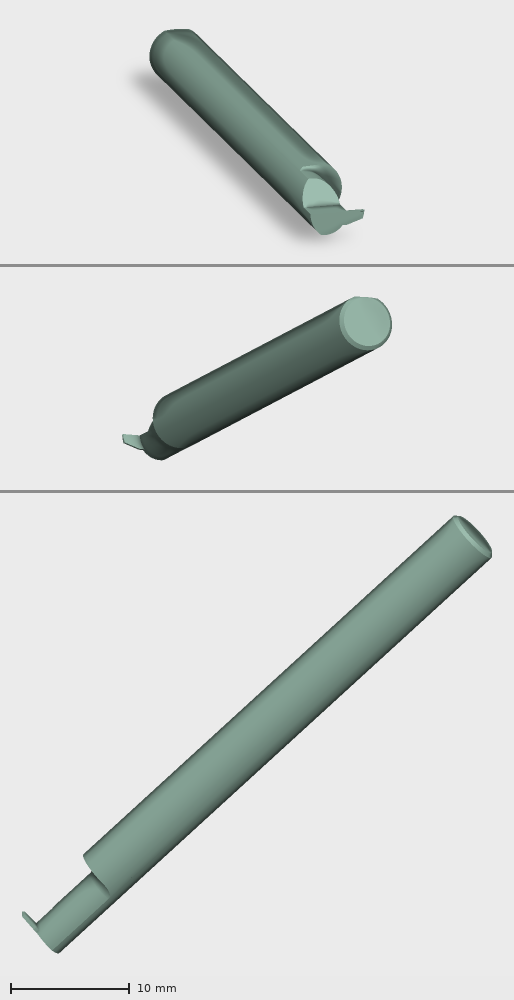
import cadquery as cq
import math

length = 50.8
shank_radius = 2.4
flat_height = 2.15
rear_chamfer = 0.3
shank_end = 43.4

neck_side = 0.8
neck_radius = 1.95
neck_center_y = neck_side - neck_radius
neck_fillet = 0.7
nose_end = 50.65

rake_height = 0.0
ramp_end = 48.5

blade_start = 50.35
tip_bevel = 0.15
tip_overhang = length - nose_end
tip_corner_x = blade_start + tip_bevel
tip_corner_y = shank_radius - (length - tip_corner_x)
blade_tip_depth = 0.7
blade_tip_relief = 0.2
blade_root_depth = 1.15


def make_shank():
    """Chamfered bar, full length, with a flat along its top."""
    bar = cq.Workplane("YZ").circle(shank_radius).extrude(nose_end)
    bar = bar.faces("<X").chamfer(rear_chamfer)
    above_flat = cq.Workplane("XY").box(
        nose_end, 2 * shank_radius, shank_radius, centered=(False, True, False)
    )
    return bar.cut(above_flat.translate((0, 0, flat_height)))


def make_neck_envelope():
    """Shank-sized space that narrows to the neck cylinder through a round fillet."""
    outer_radius = 3 * shank_radius
    fillet_end = shank_end + neck_fillet
    fillet_top = neck_radius + neck_fillet
    diagonal = neck_fillet * math.sqrt(0.5)
    fillet_middle = (fillet_end - diagonal, fillet_top - diagonal)
    profile = (
        cq.Workplane("XY")
        .lineTo(0, outer_radius)
        .lineTo(shank_end, outer_radius)
        .lineTo(shank_end, fillet_top)
        .threePointArc(fillet_middle, (fillet_end, neck_radius))
        .lineTo(nose_end, neck_radius)
        .lineTo(nose_end, 0)
        .close()
    )
    return profile.revolve(360, (0, 0), (1, 0)).translate((0, neck_center_y, 0))


def make_nose_cutter():
    """Material removed above the ramp and the rake face."""
    ramp_rise = shank_radius - rake_height
    return (
        cq.Workplane("XZ")
        .moveTo(ramp_end, rake_height)
        .lineTo(length, rake_height)
        .lineTo(length, rake_height + ramp_rise)
        .lineTo(ramp_end - ramp_rise, rake_height + ramp_rise)
        .close()
        .extrude(shank_radius, both=True)
    )


def make_blade():
    """Thin blade reaching out to +Y, with a pointed head and a relieved underside."""
    plan = (
        cq.Workplane("XY")
        .polyline([
            (blade_start, 0),
            (blade_start, shank_radius - tip_bevel),
            (tip_corner_x, shank_radius),
            (length, tip_corner_y),
            (nose_end, tip_corner_y - tip_overhang),
            (nose_end, 0),
        ])
        .close()
        .extrude(-shank_radius)
    )
    side = (
        cq.Workplane("YZ")
        .polyline([
            (0, rake_height),
            (shank_radius, rake_height),
            (shank_radius - blade_tip_relief, rake_height - blade_tip_depth),
            (neck_side, rake_height - blade_root_depth),
            (0, rake_height - blade_root_depth),
        ])
        .close()
        .extrude(length)
    )
    front_relief = (
        cq.Workplane("XZ")
        .polyline([
            (blade_start, rake_height),
            (length, rake_height),
            (nose_end, rake_height - tip_overhang),
            (nose_end, rake_height - shank_radius),
            (blade_start, rake_height - shank_radius),
        ])
        .close()
        .extrude(shank_radius, both=True)
    )
    return plan.intersect(side).intersect(front_relief)


body = make_shank().intersect(make_neck_envelope())
result = body.cut(make_nose_cutter()).union(make_blade())